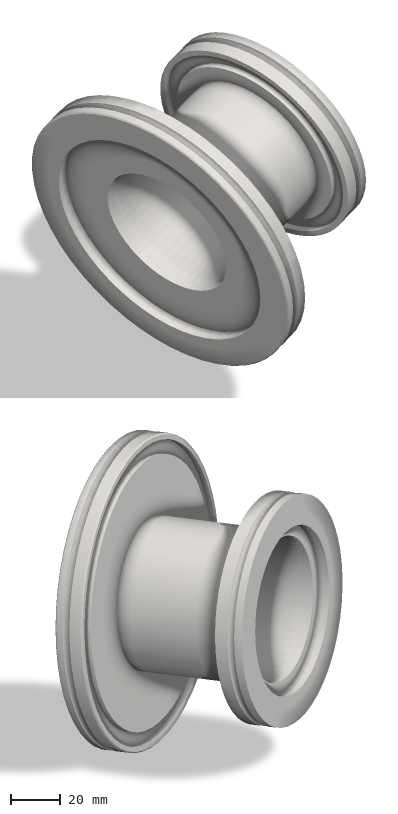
import cadquery as cq

total_length = 75.0
flange_thickness = 12.0
large_diameter = 130.0
small_diameter = 95.0
tube_diameter = 63.5
bore_diameter = 60.0

edge_chamfer = 0.5
large_recess_diameter = 102.0
small_recess_diameter = 70.0
recess_depth = 5.0
rim_groove_radius = 1.5
rim_groove_offset = 5.0
large_face_groove_outer = 125.0
large_face_groove_inner = 113.0
small_face_groove_outer = 90.0
small_face_groove_inner = 78.0
face_groove_depth = 2.6

small_flange_start = total_length - flange_thickness


def cylinder(diameter, start, length):
    """Solid cylinder along +Y, beginning at y = start."""
    return (
        cq.Workplane("XZ", origin=(0, start, 0))
        .circle(diameter / 2)
        .extrude(-length)
    )


def rim_groove(flange_diameter, position):
    """Ring of round section centred on the flange rim."""
    return (
        cq.Workplane("XY")
        .center(flange_diameter / 2, position)
        .circle(rim_groove_radius)
        .revolve(360, (-flange_diameter / 2, 0), (-flange_diameter / 2, 1))
    )


def face_groove(outer_diameter, inner_diameter, start):
    """Flat-bottomed ring for the inner face of a flange."""
    ring = cylinder(outer_diameter, start, face_groove_depth)
    return ring.cut(cylinder(inner_diameter, start, face_groove_depth))


large_flange = cylinder(large_diameter, 0, flange_thickness).edges().chamfer(edge_chamfer)
small_flange = cylinder(small_diameter, small_flange_start, flange_thickness)
tube = cylinder(tube_diameter, 0, total_length)
body = large_flange.union(small_flange).union(tube)

body = body.cut(cylinder(bore_diameter, 0, total_length))
body = body.cut(cylinder(large_recess_diameter, 0, recess_depth))
body = body.cut(cylinder(small_recess_diameter, total_length - recess_depth, recess_depth))

body = body.cut(rim_groove(large_diameter, rim_groove_offset))
body = body.cut(rim_groove(small_diameter, total_length - rim_groove_offset))

large_face_groove = face_groove(
    large_face_groove_outer, large_face_groove_inner, flange_thickness - face_groove_depth
)
small_face_groove = face_groove(
    small_face_groove_outer, small_face_groove_inner, small_flange_start
)
result = body.cut(large_face_groove).cut(small_face_groove)